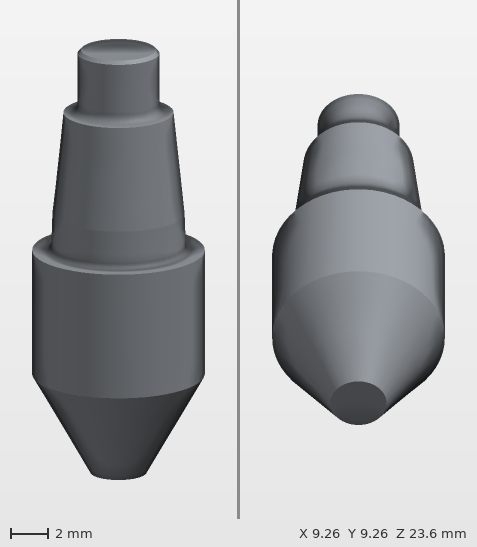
import cadquery as cq
import math

total_height = 23.6

tip_flat_radius = 1.5
body_radius = 4.63
tip_height = 5.5

collar_top = 12.41
collar_fillet = 0.3
lower_taper_base_radius = 3.6
taper_change_radius = 3.55
taper_change_height = 14.5
upper_taper_top_radius = 2.95
shoulder_height = 20.1
spigot_radius = 4.4 / 2
spigot_fillet = 0.5
spigot_chamfer = 0.2


def revolve_profile(profile):
    """Revolve a closed XZ half-profile about the Z axis."""
    return profile.close().revolve(360, (0, 0, 0), (0, 1, 0))


def concave_arc(profile, start_radius, base_height, fillet_radius):
    """Draw a quarter-round from a flat face at base_height up to start_radius - fillet_radius."""
    arc_inset = fillet_radius * math.sin(math.radians(45))
    middle = (start_radius - arc_inset, base_height + fillet_radius - arc_inset)
    end = (start_radius - fillet_radius, base_height + fillet_radius)
    return profile.threePointArc(middle, end)


def make_tip():
    """Truncated cone that narrows downward to a small flat."""
    profile = (
        cq.Workplane("XZ")
        .lineTo(tip_flat_radius, 0)
        .lineTo(body_radius, tip_height)
        .lineTo(0, tip_height)
    )
    return revolve_profile(profile)


def make_holder():
    """Collar, tapered shank and chamfered spigot, with a fillet above each shoulder."""
    collar_fillet_edge = lower_taper_base_radius + collar_fillet
    spigot_fillet_edge = spigot_radius + spigot_fillet

    profile = (
        cq.Workplane("XZ")
        .moveTo(0, tip_height)
        .lineTo(body_radius, tip_height)
        .lineTo(body_radius, collar_top)
        .lineTo(collar_fillet_edge, collar_top)
    )
    profile = concave_arc(profile, collar_fillet_edge, collar_top, collar_fillet)
    profile = (
        profile.lineTo(taper_change_radius, taper_change_height)
        .lineTo(upper_taper_top_radius, shoulder_height)
        .lineTo(spigot_fillet_edge, shoulder_height)
    )
    profile = concave_arc(profile, spigot_fillet_edge, shoulder_height, spigot_fillet)
    profile = (
        profile.lineTo(spigot_radius, total_height - spigot_chamfer)
        .lineTo(spigot_radius - spigot_chamfer, total_height)
        .lineTo(0, total_height)
    )
    return revolve_profile(profile)


tip = make_tip()
holder = make_holder()

result = cq.Compound.makeCompound([tip.val(), holder.val()])